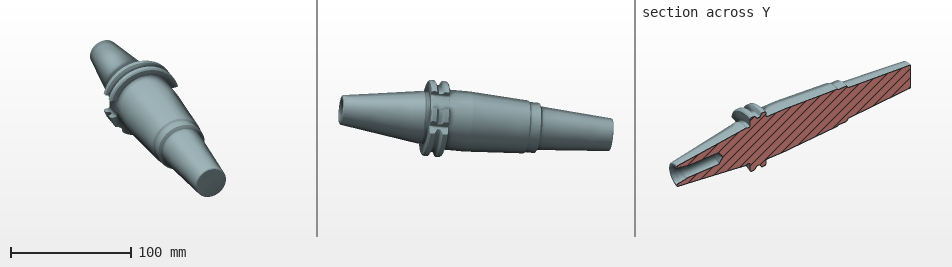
import cadquery as cq
import math

total_length = 228.2

gauge_x = 67.5
gauge_radius = 22.1
taper_per_length = 7 / 24
taper_end_radius = gauge_radius - gauge_x * taper_per_length / 2
taper_end_chamfer = 0.7
taper_edge = 1.4
neck_radius = 21.5
neck_fillet = 1.0

flange_start = 71.5
flange_end = 87.2
flange_radius = 31.7
flange_chamfer = 1.1
groove_center = 79.5
groove_bottom_radius = 28.0
groove_bottom_width = 2.7
groove_fillet = 0.5
groove_half_angle = 30
groove_flank_run = (flange_radius - groove_bottom_radius) * math.tan(math.radians(groove_half_angle))

body_radius = 25.0
body_fillet = 0.7
body_end = 107.3
body_cone_end = 157.5
body_cone_end_radius = 22.1
body_edge_chamfer = 1.4

collar_radius = 21.0
collar_end = 167.3
collar_chamfer = 1.8
nose_start_radius = 18.3
nose_end_radius = 13.7
nose_chamfer = 0.7

bore_mouth_radius = 9.5
mouth_chamfer_depth = 1.8
pilot_radius = 8.7
pilot_depth = 4.0
pilot_step_end = 5.7
counterbore_radius = 7.8
counterbore_depth = 8.7
bore_radius = 6.6
bore_depth = 41.0
bore_tip_half_angle = 60

slot_width = 16.0
slot_fillet = 1.4
front_slot_floor = body_radius - 0.11
rear_slot_floor = 22.1
slot_end = 95.0

notch_y = 18.5
notch_z = 18.3
notch_fillet = 1.1


def revolve_about_x(points):
    """Revolve a closed (x, radius) outline around the X axis."""
    return cq.Workplane("XY").polyline(points).close().revolve(360, (0, 0, 0), (1, 0, 0))


def fillet_ring(body, x, radius, fillet_radius):
    """Fillet the circular edge of the given radius that is centered on the X axis at x."""
    margin = 0.2
    reach = radius + margin
    ring_box = cq.selectors.BoxSelector(
        (x - margin, -reach, -reach),
        (x + margin, reach, reach),
        boundingbox=True,
    )
    return body.edges("%CIRCLE").edges(ring_box).fillet(fillet_radius)


def make_turned_body():
    groove_half_bottom = groove_bottom_width / 2
    groove_half_top = groove_half_bottom + groove_flank_run
    turned = revolve_about_x([
        (0, 0),
        (0, taper_end_radius - taper_end_chamfer),
        (taper_end_chamfer, taper_end_radius + taper_end_chamfer * taper_per_length / 2),
        (gauge_x, gauge_radius),
        (gauge_x + taper_edge, neck_radius),
        (flange_start, neck_radius),
        (flange_start, flange_radius - flange_chamfer),
        (flange_start + flange_chamfer, flange_radius),
        (groove_center - groove_half_top, flange_radius),
        (groove_center - groove_half_bottom, groove_bottom_radius),
        (groove_center + groove_half_bottom, groove_bottom_radius),
        (groove_center + groove_half_top, flange_radius),
        (flange_end - flange_chamfer, flange_radius),
        (flange_end, flange_radius - flange_chamfer),
        (flange_end, body_radius),
        (body_end, body_radius),
        (body_cone_end - body_edge_chamfer, body_cone_end_radius),
        (body_cone_end, collar_radius),
        (collar_end - collar_chamfer, collar_radius),
        (collar_end, nose_start_radius),
        (total_length - nose_chamfer, nose_end_radius),
        (total_length, nose_end_radius - nose_chamfer),
        (total_length, 0),
    ])
    turned = fillet_ring(turned, flange_start, neck_radius, neck_fillet)
    turned = fillet_ring(turned, groove_center - groove_half_bottom, groove_bottom_radius, groove_fillet)
    turned = fillet_ring(turned, groove_center + groove_half_bottom, groove_bottom_radius, groove_fillet)
    return fillet_ring(turned, flange_end, body_radius, body_fillet)


def make_bore():
    tip_length = bore_radius / math.tan(math.radians(bore_tip_half_angle))
    counterbore_step_end = counterbore_depth + counterbore_radius - bore_radius
    return revolve_about_x([
        (0, 0),
        (0, bore_mouth_radius),
        (mouth_chamfer_depth, pilot_radius),
        (pilot_depth, pilot_radius),
        (pilot_step_end, counterbore_radius),
        (counterbore_depth, counterbore_radius),
        (counterbore_step_end, bore_radius),
        (bore_depth, bore_radius),
        (bore_depth + tip_length, 0),
    ])


def make_slot(side, floor):
    """Drive slot cutter; side is -1 for the -Y slot and +1 for the +Y slot."""
    length = slot_end - flange_start
    depth = flange_radius - floor
    cutter = cq.Workplane("XY").box(length, depth, slot_width, centered=(False, False, True))
    cutter = cutter.translate((flange_start, floor, 0))
    cutter = cutter.edges("|X and <Y").fillet(slot_fillet)
    return cutter if side > 0 else cutter.mirror("XZ")


def make_notch():
    length = flange_end - flange_start
    cutter = cq.Workplane("XY").box(length, flange_radius, flange_radius, centered=False)
    cutter = cutter.edges("|X and <Y and <Z").fillet(notch_fillet)
    cutter = cutter.translate((flange_start, notch_y, notch_z))
    return cutter.rotate((0, 0, 0), (1, 0, 0), 180)


result = make_turned_body()
result = result.cut(make_bore())
result = result.cut(make_slot(-1, front_slot_floor))
result = result.cut(make_slot(1, rear_slot_floor))
result = result.cut(make_notch())